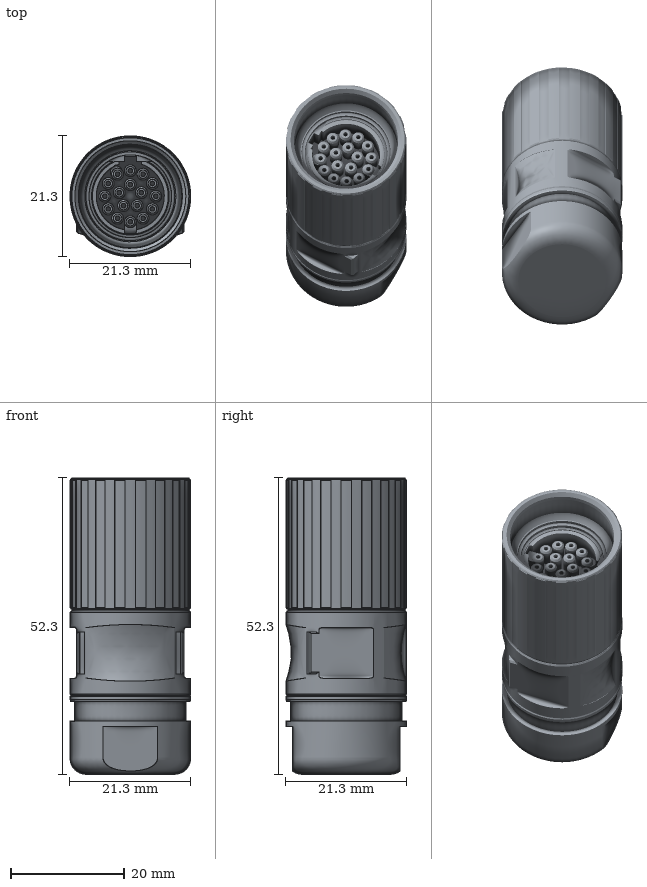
import cadquery as cq
import math

OUTER_R = 10.65
TOTAL_H = 52.3
MARGIN = 1.0
FLAT_X = 9.5
SEAM_DEPTH = 0.2

CAP_FILLET = 2.9
CAP_FLAT_TOP = 8.4
CAP_TOP = 9.4
NECK_R = 9.85
NECK_TOP = 12.9
COLLAR_CHAMFER_R, COLLAR_CHAMFER_H = 0.1, 0.27
COLLAR_SEAM_Z = 13.95

BODY_TOP = 28.8
SLEEVE_BOTTOM = 29.3
GRIP_Z = 21.45
FRONT_SCOOP_HALF_WIDTH = 7.8
REAR_SCOOP_HALF_WIDTH = 8.3
SCOOP_SECTIONS = 7
SCOOP_DEPTH = 0.9
SCOOP_HALF_H = 5.0
SCOOP_SIDE_HALF_H = 4.45
SCOOP_RIB_HALF_WIDTH = 1.3
POCKET_HALF_H = 4.5
POCKET_FILLET = 0.4
EAR_HALF_H = 3.7
EAR_FRONT_Y = -6.6
EAR_CHAMFER = 0.4
EAR_END_CHAMFER = 0.3
EAR_HEEL_X = 8.85
EAR_TAIL_X = 8.1

RIB_COUNT = 18
RIB_ANGLE = 10.2
SLEEVE_R = 10.53
SLEEVE_CHAMFER = 0.2
RIB_ROOT = 0.3
RIB_END_GAP = 0.05

RIM_R, RIM_CONE_R, BORE_R = 9.8, 9.2, 9.1
RIM_CONE_DEPTH, BORE_START_DEPTH, BORE_DEPTH = 0.55, 1.2, 4.9
LEDGE_OUTER_R, LEDGE_INNER_R = 8.05, 7.85
LEDGE_DEPTH, LOWER_LEDGE_DEPTH = 5.65, 6.25

INSERT_R = 7.3
INSERT_DEPTH = 6.85
INSERT_TOP = TOTAL_H - INSERT_DEPTH
INSERT_GROOVE_R = 6.7
INSERT_GROOVE_W = 0.15
CAVITY_R = 6.0
CAVITY_DEPTH = 4.2
KEY_HALF_WIDTH = 1.05
KEYWAY_Y = 7.05
RELIEF_HALF_WIDTH = 1.97
LAND_Y = 6.1
LAND_STEP = 0.2
KEY_SLOT_Y = -6.6
KEY_SLOT_DEPTH = 1.6
KEY_SLOT_FILLET = 0.3
CONTACT_R = 1.05
CONTACT_CHAMFER = 0.3
CONTACT_BORE_R = 0.4
CONTACT_BORE_DEPTH = 2.0
CONTACT_TOP = INSERT_TOP - 1.2
OUTER_CONTACTS, OUTER_CONTACT_R = 12, 4.5
INNER_CONTACTS, INNER_CONTACT_R = 5, 2.05
RING_START_ANGLE = 90
MARK_ANGLE = 120
MARK_OFFSET = 0.45
MARK_STEP = 0.5

CAVITY_FLOOR = INSERT_TOP - CAVITY_DEPTH


def box(x0, x1, y0, y1, z0, z1):
    return cq.Workplane("XY").box(x1 - x0, y1 - y0, z1 - z0, centered=False).translate((x0, y0, z0))


def cylinder(radius, z0, z1, x=0, y=0):
    return cq.Workplane("XY", origin=(x, y, z0)).circle(radius).extrude(z1 - z0)


def polar(radius, angle):
    a = math.radians(angle)
    return radius * math.cos(a), radius * math.sin(a)


def revolved_core():
    """Cap, neck, body and plain sleeve as one turned solid."""
    seam_r = OUTER_R - SEAM_DEPTH
    fillet_inset = CAP_FILLET * (1 - math.sqrt(0.5))
    profile = (
        cq.Workplane("XZ")
        .lineTo(OUTER_R - CAP_FILLET, 0)
        .threePointArc((OUTER_R - fillet_inset, fillet_inset), (OUTER_R, CAP_FILLET))
        .lineTo(OUTER_R, CAP_TOP)
        .lineTo(NECK_R, CAP_TOP)
        .lineTo(NECK_R, NECK_TOP)
        .lineTo(OUTER_R - COLLAR_CHAMFER_R, NECK_TOP)
        .lineTo(OUTER_R, NECK_TOP + COLLAR_CHAMFER_H)
        .lineTo(OUTER_R, COLLAR_SEAM_Z - SEAM_DEPTH)
        .lineTo(seam_r, COLLAR_SEAM_Z)
        .lineTo(OUTER_R, COLLAR_SEAM_Z + SEAM_DEPTH)
        .lineTo(OUTER_R, BODY_TOP - SEAM_DEPTH)
        .lineTo(seam_r, BODY_TOP)
        .lineTo(SLEEVE_R - SLEEVE_CHAMFER, BODY_TOP)
        .lineTo(SLEEVE_R - SLEEVE_CHAMFER, SLEEVE_BOTTOM - SLEEVE_CHAMFER)
        .lineTo(SLEEVE_R, SLEEVE_BOTTOM)
        .lineTo(SLEEVE_R, TOTAL_H - SLEEVE_CHAMFER)
        .lineTo(SLEEVE_R - SLEEVE_CHAMFER, TOTAL_H)
        .lineTo(0, TOTAL_H)
        .close()
    )
    return profile.revolve(360, (0, 0, 0), (0, 1, 0))


def sleeve_ribs():
    """Shallow raised ribs around the sleeve, chamfered at both ends."""
    rib_rise = OUTER_R - SLEEVE_R
    root_r = SLEEVE_R - RIB_ROOT
    bottom = SLEEVE_BOTTOM + RIB_END_GAP
    top = TOTAL_H - SLEEVE_CHAMFER - RIB_END_GAP
    section = (
        cq.Workplane("XZ")
        .moveTo(root_r, bottom)
        .lineTo(SLEEVE_R, bottom)
        .lineTo(OUTER_R, bottom + rib_rise)
        .lineTo(OUTER_R, top - rib_rise)
        .lineTo(SLEEVE_R, top)
        .lineTo(root_r, top)
        .close()
    )
    rib = section.revolve(RIB_ANGLE, (0, 0, 0), (0, 1, 0))
    rib_middle = math.degrees(math.atan2(rib.val().Center().y, rib.val().Center().x))
    pitch = 360 / RIB_COUNT
    return [rib.rotate((0, 0, 0), (0, 0, 1), i * pitch - rib_middle) for i in range(RIB_COUNT)]


def cap_flats():
    """Two spanner flats across the cap, front and rear."""
    cutter = box(-OUTER_R, OUTER_R, -OUTER_R - MARGIN, -FLAT_X, -MARGIN, CAP_FLAT_TOP)
    return cutter.union(cutter.mirror("XZ"))


def scoop(half_width):
    """Hollow with upright side edges, hollowed along an arc and deepest at its middle."""
    outside_y = -OUTER_R - MARGIN
    side_y = -math.sqrt(OUTER_R**2 - half_width**2)
    arc_r = (SCOOP_HALF_H**2 + SCOOP_DEPTH**2) / (2 * SCOOP_DEPTH)

    def section(height):
        depth = SCOOP_DEPTH - arc_r + math.sqrt(arc_r**2 - height**2)
        return (
            cq.Workplane("XY", origin=(0, 0, GRIP_Z + height))
            .moveTo(-half_width, side_y)
            .threePointArc((0, depth - OUTER_R), (half_width, side_y))
            .lineTo(half_width, outside_y)
            .lineTo(-half_width, outside_y)
            .close()
            .wires()
            .val()
        )

    spacing = 2 * SCOOP_HALF_H / (SCOOP_SECTIONS - 1)
    sections = [section(i * spacing - SCOOP_HALF_H) for i in range(SCOOP_SECTIONS)]
    hollow = cq.Workplane(cq.Solid.makeLoft(sections))
    outline = (
        cq.Workplane("XZ", origin=(0, 0, GRIP_Z))
        .moveTo(-half_width, -SCOOP_SIDE_HALF_H)
        .threePointArc((0, -SCOOP_HALF_H), (half_width, -SCOOP_SIDE_HALF_H))
        .lineTo(half_width, SCOOP_SIDE_HALF_H)
        .threePointArc((0, SCOOP_HALF_H), (-half_width, SCOOP_SIDE_HALF_H))
        .close()
        .extrude(-outside_y)
    )
    return hollow.intersect(outline)


def rear_scoop():
    """Slightly wider scoop at the rear, parted by a rib in the middle."""
    rib = box(
        -SCOOP_RIB_HALF_WIDTH, SCOOP_RIB_HALF_WIDTH, 0, OUTER_R + 2 * MARGIN,
        GRIP_Z - SCOOP_HALF_H - MARGIN, GRIP_Z + SCOOP_HALF_H + MARGIN,
    )
    return scoop(REAR_SCOOP_HALF_WIDTH).mirror("XZ").cut(rib)


def label_pocket():
    """Flat-bottomed pocket on the -X side, rounded where the floor meets its end walls."""
    pocket = box(
        -OUTER_R - MARGIN, -FLAT_X, -OUTER_R, OUTER_R,
        GRIP_Z - POCKET_HALF_H, GRIP_Z + POCKET_HALF_H,
    )
    return pocket.edges(">X and |Y").fillet(POCKET_FILLET)


def pocket_ear():
    """Ear that carries the pocket floor past the round body towards the front."""
    tail_y = -math.sqrt(OUTER_R**2 - EAR_TAIL_X**2)
    ear = (
        cq.Workplane("XY", origin=(0, 0, GRIP_Z - EAR_HALF_H))
        .moveTo(-EAR_TAIL_X, EAR_FRONT_Y / 2)
        .lineTo(-FLAT_X, EAR_FRONT_Y / 2)
        .lineTo(-FLAT_X, EAR_FRONT_Y + EAR_CHAMFER)
        .lineTo(-FLAT_X + EAR_CHAMFER, EAR_FRONT_Y)
        .lineTo(-EAR_HEEL_X, EAR_FRONT_Y)
        .lineTo(-EAR_TAIL_X, tail_y)
        .close()
        .extrude(2 * EAR_HALF_H)
    )
    return ear.faces("<X").edges("|Y").chamfer(EAR_END_CHAMFER)


def stepped_bore():
    """Bore of the sleeve, narrowing in cones and ledges down to the insert face."""
    profile = (
        cq.Workplane("XZ", origin=(0, 0, TOTAL_H))
        .lineTo(RIM_R, 0)
        .lineTo(RIM_CONE_R, -RIM_CONE_DEPTH)
        .lineTo(BORE_R, -BORE_START_DEPTH)
        .lineTo(BORE_R, -BORE_DEPTH)
        .lineTo(LEDGE_OUTER_R, -LEDGE_DEPTH)
        .lineTo(LEDGE_INNER_R, -LEDGE_DEPTH)
        .lineTo(LEDGE_INNER_R, -LOWER_LEDGE_DEPTH)
        .lineTo(INSERT_R, -LOWER_LEDGE_DEPTH)
        .lineTo(INSERT_R, -INSERT_DEPTH)
        .lineTo(0, -INSERT_DEPTH)
        .close()
    )
    return profile.revolve(360, (0, 0, 0), (0, 1, 0))


def insert_cavity():
    """Contact cavity with keyway, key slot, the land beside the keyway and a fine ring groove."""
    cavity = cylinder(CAVITY_R, CAVITY_FLOOR, INSERT_TOP)
    keyway = box(-KEY_HALF_WIDTH, KEY_HALF_WIDTH, 0, KEYWAY_Y, CAVITY_FLOOR, INSERT_TOP)
    relief = box(-RELIEF_HALF_WIDTH, RELIEF_HALF_WIDTH, 0, LAND_Y, CAVITY_FLOOR, INSERT_TOP)
    land_bottom = INSERT_TOP - LAND_STEP
    land = cylinder(INSERT_R, land_bottom, INSERT_TOP).intersect(
        box(-OUTER_R, OUTER_R, LAND_Y, OUTER_R, land_bottom, INSERT_TOP)
    )
    groove = cylinder(INSERT_GROOVE_R + INSERT_GROOVE_W, land_bottom, INSERT_TOP).cut(
        cylinder(INSERT_GROOVE_R, land_bottom, INSERT_TOP)
    )
    slot = (
        box(-KEY_HALF_WIDTH, KEY_HALF_WIDTH, KEY_SLOT_Y, 0, INSERT_TOP - KEY_SLOT_DEPTH, INSERT_TOP)
        .edges("|Z and <Y")
        .fillet(KEY_SLOT_FILLET)
    )
    return cavity.union(keyway).union(relief).union(land).union(groove).union(slot)


def contact(x, y):
    """Socket contact standing on the cavity floor."""
    post = cylinder(CONTACT_R, CAVITY_FLOOR, CONTACT_TOP, x, y).faces(">Z").chamfer(CONTACT_CHAMFER)
    return post.cut(cylinder(CONTACT_BORE_R, CONTACT_TOP - CONTACT_BORE_DEPTH, CONTACT_TOP, x, y))


def contacts():
    """Two rings of contacts, each with one contact on the +Y axis."""
    outer = [
        polar(OUTER_CONTACT_R, RING_START_ANGLE + i * 360 / OUTER_CONTACTS)
        for i in range(OUTER_CONTACTS)
    ]
    inner = [
        polar(INNER_CONTACT_R, RING_START_ANGLE + i * 360 / INNER_CONTACTS)
        for i in range(INNER_CONTACTS)
    ]
    return [contact(x, y) for x, y in outer + inner]


def key_rib():
    """Rib joining the front contact to the cavity wall, below the key slot."""
    top = INSERT_TOP - KEY_SLOT_DEPTH
    rib = box(-KEY_HALF_WIDTH, KEY_HALF_WIDTH, -CAVITY_R, -OUTER_CONTACT_R, CAVITY_FLOOR, top)
    return rib.cut(cylinder(CONTACT_R, CAVITY_FLOOR, top, 0, -OUTER_CONTACT_R))


def marking_boss():
    """Low boss peeping out behind one contact."""
    x, y = polar(OUTER_CONTACT_R + MARK_OFFSET, MARK_ANGLE)
    contact_x, contact_y = polar(OUTER_CONTACT_R, MARK_ANGLE)
    top = CONTACT_TOP - MARK_STEP
    neighbour = cylinder(CONTACT_R, CAVITY_FLOOR, top, contact_x, contact_y)
    return cylinder(CONTACT_R, CAVITY_FLOOR, top, x, y).cut(neighbour)


result = revolved_core()
for rib in sleeve_ribs():
    result = result.union(rib)
result = result.cut(cap_flats()).cut(scoop(FRONT_SCOOP_HALF_WIDTH)).cut(rear_scoop())
result = result.cut(label_pocket()).cut(label_pocket().mirror("YZ"))
result = result.union(pocket_ear()).union(pocket_ear().mirror("YZ"))
result = result.cut(stepped_bore()).cut(insert_cavity())
for post in contacts():
    result = result.union(post)
result = result.union(key_rib()).union(marking_boss())